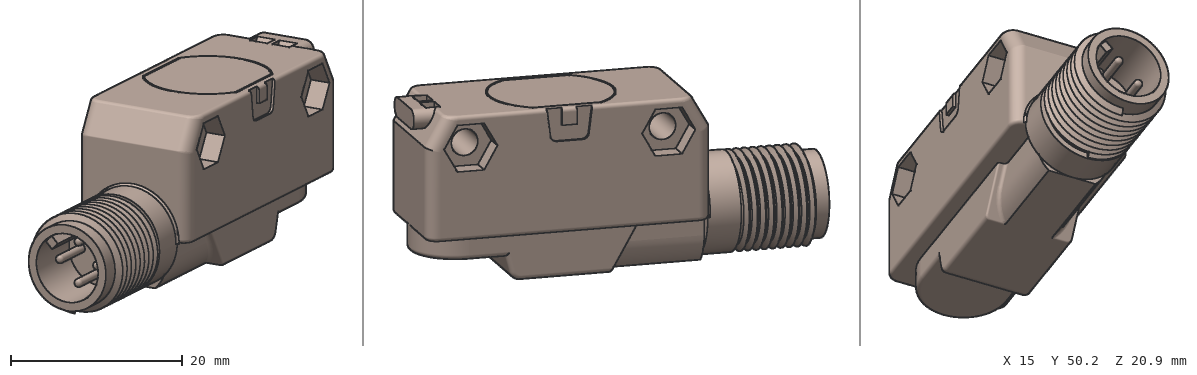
import cadquery as cq
import math


body_width = 15.0
body_length = 34.5
body_height = 15.0
half_width = body_width / 2
end_slope = math.radians(60)
end_cut_height = 3.75
end_cut_length = end_cut_height / math.tan(end_slope)
bend_radius = 0.25
corner_radius = 1.5
edge_radius = 0.5

foot_width = 11.1
foot_depth = 5.9
rear_foot_depth = 2.95
foot_step_y = 24.35
foot_step_angle = math.radians(75)
foot_heel_radius = 1.25
foot_front_y = 7.9
foot_edge_radius = 0.6
toe_radius = 0.25

collar_radius = 6.0
connector_z = collar_radius - foot_depth
connector_length = 15.05
collar_length = 4.05
flange_radius = 6.25
flange_length = 0.3
nose_radius = 4.5
nose_center_z = -2.55
joint_radius = 0.45
core_radius = 5.2
thread_pitch = 1.0
thread_start = 4.25
thread_turns = 9
thread_base = 0.9
thread_sink = 0.1
socket_radius = 4.15
socket_depth = 7.5
pin_radius = 0.5
pin_offset = 2.5
pin_recess = 2.2
key_size = 1.1
key_inner_radius = 2.95
key_recess = 0.75

hole_diameter = 3.2
hole_inset = 5.2
hole_drop = 3.85
nut_across_flats = 5.6
nut_depth = 2.5

latch_top_width = 5.5
latch_bottom_width = 4.5
latch_height = 3.95
latch_radius = 0.8
latch_depth = 0.35
catch_width = 1.8
catch_height = 2.05

lens_diameter = 15.15
lens_width = 12.65
lens_groove = 0.15

tab_width = 7.8
tab_height = 2.4
tab_overhang = 0.6
tab_front_y = 30.05
window_width = 2.35
window_gap = 0.625
window_length = 1.75
window_inset = 1.8
window_slope = math.radians(55)


def side_sketch(points):
    """Start a closed Y-Z outline on the middle plane."""
    return cq.Workplane("YZ").polyline(points).close()


def front_plane(y):
    """Workplane on the connector axis that faces forward (-Y)."""
    return cq.Workplane("XZ", origin=(0, y, connector_z))


def make_body():
    """Main block with sloped upper ends and rounded edges."""
    slope_z = body_height - end_cut_height
    outline = [
        (0, 0),
        (0, slope_z),
        (end_cut_length, body_height),
        (body_length - end_cut_length, body_height),
        (body_length, slope_z),
        (body_length, 0),
    ]
    body = side_sketch(outline).extrude(half_width, both=True)
    bends = cq.selectors.BoxSelector(
        (-half_width, 0, slope_z - bend_radius), (half_width, body_length, slope_z + bend_radius)
    )
    body = body.edges(bends).fillet(bend_radius)
    body = body.faces("<X or >X").edges("not |Y").fillet(corner_radius)
    return body.faces("<Z or >Z").edges().fillet(edge_radius)


def make_foot():
    """Stepped foot with a half-round rear and a sloped front end."""
    step_run = (foot_depth - rear_foot_depth) / math.tan(foot_step_angle)
    front_run = (foot_depth + edge_radius) / math.tan(end_slope)
    outline = [
        (foot_front_y, edge_radius),
        (foot_front_y + front_run, -foot_depth),
        (foot_step_y - step_run, -foot_depth),
        (foot_step_y, -rear_foot_depth),
        (body_length, -rear_foot_depth),
        (body_length, edge_radius),
    ]
    side = side_sketch(outline).extrude(foot_width / 2, both=True)
    heel = cq.selectors.NearestToPointSelector((0, foot_step_y - step_run, -foot_depth))
    side = side.edges(heel).fillet(foot_heel_radius)
    straight_length = body_length - foot_width / 2
    plan = (
        cq.Workplane("XY", origin=(0, 0, -foot_depth))
        .moveTo(-foot_width / 2, 0)
        .lineTo(foot_width / 2, 0)
        .lineTo(foot_width / 2, straight_length)
        .threePointArc((0, body_length), (-foot_width / 2, straight_length))
        .close()
        .extrude(foot_depth + edge_radius)
    )
    foot = side.intersect(plan)
    behind_front = cq.selectors.BoxSelector(
        (-foot_width, foot_front_y + front_run, -2 * foot_depth), (foot_width, body_length, 0)
    )
    foot = foot.edges(behind_front).edges("not |X").edges("not |Z").fillet(foot_edge_radius)
    toe = cq.selectors.NearestToPointSelector((0, foot_front_y + front_run, -foot_depth))
    return foot.edges(toe).fillet(toe_radius)


def make_nose():
    """Round-bottomed underside, cut flat below, that runs from the foot to the connector."""
    nose_length = foot_front_y + foot_depth
    outline = (
        cq.Workplane("XZ")
        .moveTo(-nose_radius, edge_radius)
        .lineTo(-nose_radius, nose_center_z)
        .threePointArc((0, nose_center_z - nose_radius), (nose_radius, nose_center_z))
        .lineTo(nose_radius, edge_radius)
        .close()
    )
    nose = outline.extrude(-nose_length)
    keep = cq.Workplane("XY").box(foot_width, 2 * nose_length, 2 * foot_depth)
    return nose.intersect(keep)


def make_underside():
    """Foot and nose joined, with a hollow fillet where the foot steps out from the nose."""
    underside = make_foot().union(make_nose())
    joints = cq.selectors.BoxSelector(
        (-nose_radius - 0.05, foot_front_y, -foot_depth + foot_edge_radius), (nose_radius + 0.05, foot_step_y / 2, 0)
    )
    return underside.edges(joints).fillet(joint_radius)


def make_connector():
    """Flange, collar, threaded core, keyed socket and four pins."""
    flange = cq.Workplane(
        cq.Solid.makeCone(
            flange_radius, collar_radius, flange_length, cq.Vector(0, 0, connector_z), cq.Vector(0, -1, 0)
        )
    )
    above_underside = cq.Workplane("XY").box(body_width, body_width, body_height, centered=(True, True, False))
    flange = flange.intersect(above_underside)
    collar = front_plane(0).circle(collar_radius).extrude(collar_length)
    core = front_plane(0).circle(core_radius).extrude(connector_length)
    socket = front_plane(socket_depth - connector_length).circle(socket_radius).extrude(socket_depth)
    shell = flange.union(collar).union(core).union(make_thread()).cut(socket)

    floor_y = socket_depth - connector_length
    pins = (
        front_plane(floor_y)
        .polarArray(pin_offset, 0, 360, 4)
        .circle(pin_radius)
        .extrude(socket_depth - pin_recess)
        .faces("<Y")
        .edges()
        .fillet(0.8 * pin_radius)
    )
    key = (
        front_plane(floor_y)
        .transformed(rotate=(0, 0, 135))
        .center((key_inner_radius + core_radius - 0.5) / 2, 0)
        .rect(core_radius - 0.5 - key_inner_radius, key_size)
        .extrude(socket_depth - key_recess)
    )
    return shell.union(pins).union(key)


def make_thread():
    """Single right-hand V thread wound around the connector core."""
    root_radius = core_radius - thread_sink
    height = thread_turns * thread_pitch
    helix = cq.Wire.makeHelix(thread_pitch, height, root_radius)
    profile = (
        cq.Workplane("XZ")
        .moveTo(root_radius, -thread_base / 2)
        .lineTo(collar_radius, 0)
        .lineTo(root_radius, thread_base / 2)
        .close()
    )
    thread = profile.sweep(cq.Workplane(helix), isFrenet=True)
    thread = thread.rotate((0, 0, 0), (0, 0, 1), -90).rotate((0, 0, 0), (1, 0, 0), 90)
    return thread.translate((0, -thread_start, connector_z))


def make_hole_cutters():
    """Through holes with hexagonal nut pockets in both sides."""
    hole_z = body_height - hole_drop
    places = [(hole_inset, hole_z), (body_length - hole_inset, hole_z)]
    cutters = cq.Workplane("YZ").pushPoints(places).circle(hole_diameter / 2).extrude(half_width, both=True)
    nut_corners = nut_across_flats / math.cos(math.radians(30))
    pocket = (
        cq.Workplane("YZ", origin=(half_width - nut_depth, 0, 0))
        .pushPoints(places)
        .polygon(6, nut_corners)
        .extrude(nut_depth)
    )
    return cutters.union(pocket).union(pocket.mirror("YZ"))


def make_latch_cutters():
    """Shallow tapered recess in each side, leaving a small catch in its middle."""
    middle_y = body_length / 2
    bottom_z = body_height - latch_height
    recess = (
        cq.Workplane("YZ", origin=(half_width - latch_depth, 0, 0))
        .moveTo(middle_y - latch_top_width / 2, body_height)
        .lineTo(middle_y - latch_bottom_width / 2, bottom_z)
        .lineTo(middle_y + latch_bottom_width / 2, bottom_z)
        .lineTo(middle_y + latch_top_width / 2, body_height)
        .close()
        .extrude(latch_depth)
        .faces("<Z")
        .edges("|X")
        .fillet(latch_radius)
    )
    catch = cq.Workplane("XY").box(body_width, catch_width, 2 * catch_height)
    recess = recess.cut(catch.translate((0, middle_y, body_height)))
    return recess.union(recess.mirror("YZ"))


def make_lens_cutter():
    """Fine groove around the lens: a circle with two flattened sides."""

    def lens(diameter, width):
        disc = cq.Workplane("XY").circle(diameter / 2).extrude(lens_groove)
        return disc.intersect(cq.Workplane("XY").box(width, diameter, body_height))

    groove = lens(lens_diameter, lens_width).cut(
        lens(lens_diameter - 2 * lens_groove, lens_width - 2 * lens_groove)
    )
    return groove.translate((0, body_length / 2, body_height - lens_groove))


def make_tab():
    """Tab with half-round sides that overhangs the rear end."""
    tab_length = body_length + tab_overhang - tab_front_y
    return (
        cq.Workplane("XZ", origin=(0, tab_front_y, body_height - tab_height / 2))
        .slot2D(tab_width, tab_height)
        .extrude(-tab_length)
    )


def make_window_cutters():
    """Two wedge windows that slope down from the tab towards the front."""
    rear_y = body_length + tab_overhang - window_inset
    front_y = rear_y - window_length
    floor_z = body_height - window_length * math.tan(window_slope)
    outline = [(rear_y, body_height), (front_y, body_height), (front_y, floor_z)]
    wedge = side_sketch(outline).extrude(window_width).translate((window_gap / 2, 0, 0))
    return wedge.union(wedge.mirror("YZ"))


result = (
    make_body()
    .union(make_underside())
    .union(make_tab())
    .union(make_connector())
    .cut(make_hole_cutters())
    .cut(make_latch_cutters())
    .cut(make_lens_cutter())
    .cut(make_window_cutters())
)